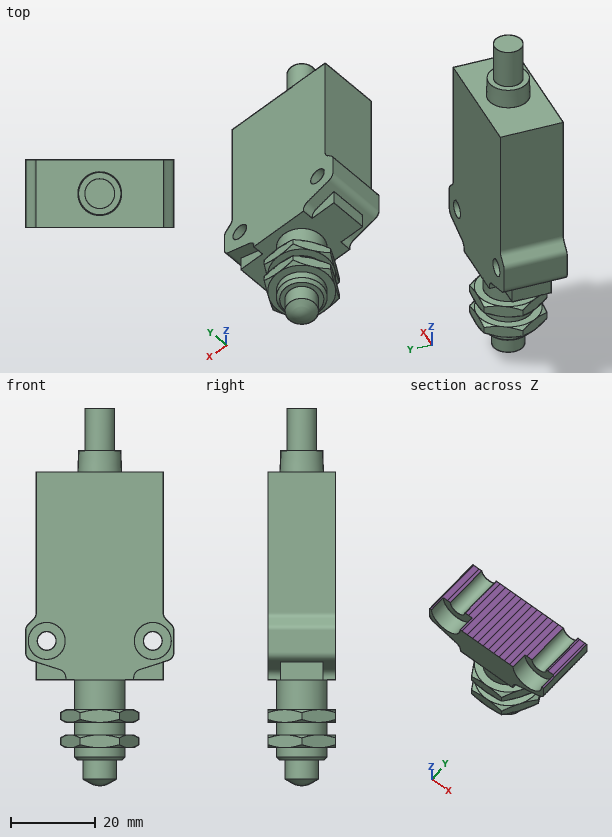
import cadquery as cq
import math


block_width = 30.0
block_depth = 16.0
block_height = 49.1

ear_span = 35.0
ear_slope_top = 15.0
ear_side_bottom = 5.0
foot_half_width = 8.0
foot_shoulder_height = 2.0
ear_blend_radius = 2.0
ear_slope_drop = (ear_span - block_width) / 2

tab_depth = 10.0

hole_spacing = 25.0
hole_height = 9.2
hole_diameter = 4.4
counterbore_diameter = 8.7
counterbore_depth = 4.4

collar_base_diameter = 10.3
collar_top_diameter = 10.0
collar_height = 5.0
cable_diameter = 7.0
cable_length = 10.0

neck_diameter = 12.0
neck_length = 19.0
neck_chamfer = 0.8
plunger_diameter = 7.9
plunger_end_depth = 25.0
tip_cone_angle = 30.0
tip_ball_radius = 4.45

nut_across_flats = 16.0
nut_sides = 6
nut_height = 3.0
nut_chamfer_angle = 30.0
nut_top_depths = [7.0, 13.0]


def make_eared_block():
    """Block with rounded ears, extruded over the full depth about Y = 0."""
    half_block = block_width / 2
    half_ears = ear_span / 2
    ear_points = [
        (half_block, ear_slope_top),
        (half_ears, ear_slope_top - ear_slope_drop),
        (half_ears, ear_side_bottom),
        (foot_half_width, foot_shoulder_height),
    ]
    right_side = [(half_block, block_height), *ear_points, (foot_half_width, 0)]
    left_side = [(-x, z) for x, z in reversed(right_side)]
    block = (
        cq.Workplane("XZ")
        .polyline(right_side + left_side)
        .close()
        .extrude(block_depth / 2, both=True)
    )
    for x, z in ear_points:
        for side in (-1, 1):
            corner = cq.selectors.NearestToPointSelector((side * x, 0, z))
            block = block.edges("|Y").edges(corner).fillet(ear_blend_radius)
    return block


def make_tab():
    return cq.Workplane("XY").box(
        block_width, tab_depth, ear_slope_top, centered=(True, True, False)
    )


def make_mounting_holes():
    front_face = cq.Workplane("XZ", origin=(0, -block_depth / 2, 0))
    centers = [(-hole_spacing / 2, hole_height), (hole_spacing / 2, hole_height)]
    through_holes = front_face.pushPoints(centers).circle(hole_diameter / 2).extrude(-block_depth)
    counterbores = (
        front_face.pushPoints(centers).circle(counterbore_diameter / 2).extrude(-counterbore_depth)
    )
    return through_holes.union(counterbores)


def make_cable_end():
    """Tapered collar and cable stub, turned about Z."""
    collar_top = block_height + collar_height
    cable_top = collar_top + cable_length
    profile = [
        (0, block_height),
        (collar_base_diameter / 2, block_height),
        (collar_top_diameter / 2, collar_top),
        (cable_diameter / 2, collar_top),
        (cable_diameter / 2, cable_top),
        (0, cable_top),
    ]
    return cq.Workplane("XZ").polyline(profile).close().revolve(360, (0, 0), (0, 1))


def make_neck_and_plunger():
    """Threaded neck and plunger, whose conical tip ends in a tangent ball, turned about Z."""
    neck_radius = neck_diameter / 2
    plunger_radius = plunger_diameter / 2
    angle = math.radians(tip_cone_angle)
    ball_center_z = tip_ball_radius - plunger_end_depth
    blend_radius = tip_ball_radius * math.sin(angle)
    blend_z = ball_center_z - tip_ball_radius * math.cos(angle)
    arc_middle = (
        tip_ball_radius * math.sin(angle / 2),
        ball_center_z - tip_ball_radius * math.cos(angle / 2),
    )
    cone_start_z = blend_z + (plunger_radius - blend_radius) * math.tan(angle)
    return (
        cq.Workplane("XZ")
        .lineTo(neck_radius, 0)
        .lineTo(neck_radius, neck_chamfer - neck_length)
        .lineTo(neck_radius - neck_chamfer, -neck_length)
        .lineTo(plunger_radius, -neck_length)
        .lineTo(plunger_radius, cone_start_z)
        .lineTo(blend_radius, blend_z)
        .threePointArc(arc_middle, (0, -plunger_end_depth))
        .close()
        .revolve(360, (0, 0), (0, 1))
    )


def make_housing():
    block = make_eared_block().union(make_tab())
    block = block.cut(make_mounting_holes())
    return block.union(make_cable_end()).union(make_neck_and_plunger())


def make_nut(top_depth):
    """Hexagonal nut with flats facing -Y and +Y, its corners chamfered at both ends."""
    across_corners = nut_across_flats / math.cos(math.pi / nut_sides)
    flat_radius = nut_across_flats / 2
    corner_radius = across_corners / 2
    chamfer_height = (corner_radius - flat_radius) * math.tan(math.radians(nut_chamfer_angle))
    chamfer_envelope = (
        cq.Workplane("XZ")
        .polyline([
            (0, 0),
            (flat_radius, 0),
            (corner_radius, chamfer_height),
            (corner_radius, nut_height - chamfer_height),
            (flat_radius, nut_height),
            (0, nut_height),
        ])
        .close()
        .revolve(360, (0, 0), (0, 1))
    )
    hexagon = cq.Workplane("XY").polygon(nut_sides, across_corners).extrude(nut_height)
    bore = cq.Workplane("XY").circle(neck_diameter / 2).extrude(nut_height)
    nut = hexagon.intersect(chamfer_envelope).cut(bore)
    return nut.translate((0, 0, -top_depth - nut_height))


housing = make_housing()
nuts = [make_nut(top_depth) for top_depth in nut_top_depths]

result = cq.Compound.makeCompound([housing.val(), *[nut.val() for nut in nuts]])